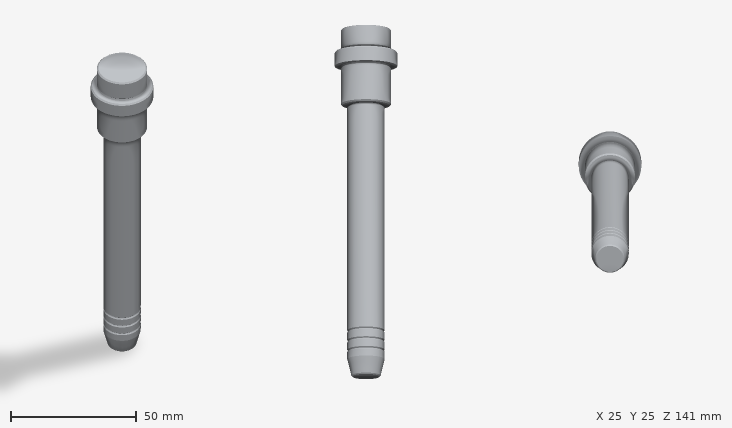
import cadquery as cq

length = 141.0
flange_diameter = 25.0
head_diameter = 20.0
shaft_diameter = 15.0
edge_chamfer = 0.5

flange_top = 132.0
flange_bottom = 126.0
sleeve_bottom = 110.1

upper_relief_width = 1.1
lower_relief_width = 1.0

neck_diameter = 12.4
neck_height = 1.0

tip_diameter = 11.7
taper_height = 7.0
tip_chamfer = 0.4

ring_count = 3
ring_pitch = 4.0
ring_width = 1.0
lowest_ring_center = 10.5


def cylinder(diameter, bottom, top):
    """Upright cylinder between two heights."""
    return cq.Workplane("XY").workplane(offset=bottom).circle(diameter / 2).extrude(top - bottom)


def ring_groove(diameter, center_height, width):
    """Cutting ring for a right-angled V groove in a cylinder surface."""
    radius = diameter / 2
    half_width = width / 2
    return (
        cq.Workplane("XZ")
        .moveTo(radius - half_width, center_height)
        .lineTo(radius + half_width, center_height - width)
        .lineTo(radius + half_width, center_height + width)
        .close()
        .revolve(360, (0, 0, 0), (0, 1, 0))
    )


def make_head():
    """Head and sleeve with the flange and its two relief grooves."""
    body = cylinder(head_diameter, sleeve_bottom, length).edges().chamfer(edge_chamfer)
    upper_relief_center = flange_top + upper_relief_width / 2
    lower_relief_center = flange_bottom - lower_relief_width / 2
    body = body.cut(ring_groove(head_diameter, upper_relief_center, upper_relief_width))
    body = body.cut(ring_groove(head_diameter, lower_relief_center, lower_relief_width))
    flange = cylinder(flange_diameter, flange_bottom, flange_top).faces(">Z").edges().chamfer(edge_chamfer)
    return body.union(flange)


def make_shaft():
    """Revolved shaft with a conical neck and a tapered tip, then cut by ring grooves."""
    shaft_radius = shaft_diameter / 2
    tip_radius = tip_diameter / 2
    shaft = (
        cq.Workplane("XZ")
        .lineTo(tip_radius - tip_chamfer, 0)
        .lineTo(tip_radius, tip_chamfer)
        .lineTo(shaft_radius, taper_height)
        .lineTo(shaft_radius, sleeve_bottom - neck_height)
        .lineTo(neck_diameter / 2, sleeve_bottom)
        .lineTo(0, sleeve_bottom)
        .close()
        .revolve(360, (0, 0, 0), (0, 1, 0))
    )
    for index in range(ring_count):
        ring_center = lowest_ring_center + index * ring_pitch
        shaft = shaft.cut(ring_groove(shaft_diameter, ring_center, ring_width))
    return shaft


result = make_head().union(make_shaft())